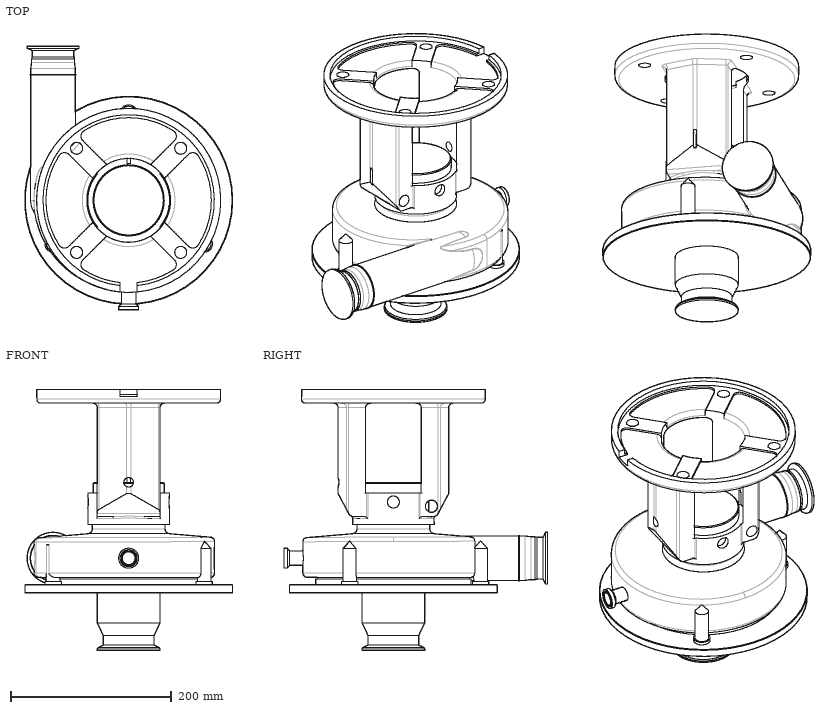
import cadquery as cq
import math


EDGE_TOL = 0.1

PLATE_R = 130.0
PLATE_T = 10.7
PLATE_CHAMFER = 0.8
SPIGOT_R = 97.2
SPIGOT_TOP = 17.9
SPIGOT_NECK_R = 95.0
INLET_R = 39.4
INLET_NECK_R = 31.8
INLET_CONE_TOP = -37.1
INLET_CONE_BOTTOM = -53.2
INLET_END = -71.9
INLET_FLARE_H = 3.2
INLET_RIM_T = 2.1
INLET_SHOULDER_R = 38.4
INLET_SHOULDER_H = 1.7

VOLUTE_BOTTOM = 19.5
VOLUTE_MEAN_R = 107.4
VOLUTE_GROWTH = 5.8
VOLUTE_START = 155.0
VOLUTE_END = -205.0
VOLUTE_LAST_GROWTH = -168.0
SPIRAL_STEPS = 16
VOLUTE_FILLET = 5.5
ROOF_INNER_R = 50.0
ROOF_INNER_Z = 74.4
ROOF_SLOPE = 0.085

CORE_R = 44.5
CORE_TOP = 138.1
CORE_CHAMFER = 1.2
NECK_R = 45.7
NECK_FLARE_Z = 80.0
COLLAR_R = 51.1
COLLAR_BOTTOM = 85.5
COLLAR_TOP = 125.3
CROSS_HOLE_D = 15.0
COLLAR_HOLE_Z = 113.8
LEG_HOLE_Y = 47.5
LEG_HOLE_Z = 108.5

FLANGE_R = 115.0
FLANGE_TOP = 254.6
FLANGE_BOTTOM = 237.2
FLANGE_FILLET = 5.0
FLANGE_BORE_R = 52.4
RECESS_R = 107.0
RECESS_DEPTH = 6.4
POCKET_R = 103.3
POCKET_DEPTH = 8.8
POCKET_CORNER_R = 8.0
POCKET_LIP_R = 5.5
PAD_W = 24.4
BOLT_CIRCLE_R = 92.0
BOLT_D = 15.0
NOTCH_W = 21.0

LEG_HALF_W = 39.3
LEG_INNER_Y = 20.0
LEG_RIDGE_Y = 69.2
LEG_RIDGE_HALF_W = 2.65
LEG_EDGE_Y = 58.0
LEG_EDGE_R = 3.0
LEG_BEVEL_TOP = 124.3
LEG_BEVEL_END_Y = 53.9
LEG_BOTTOM = 95.5
LEG_TOE_R = 7.0
LEG_ROOT_R = 5.5
LEG_COLLAR_BLEND_R = 2.5
ACCESS_HOLE_D = 12.0
ACCESS_HOLE_Z = 138.4
SLOT_W = 4.0
SLOT_BOTTOM = 121.0
SLOT_TOP = 145.0
SLOT_INNER_Y = 46.0

PORT_Z = 43.6
PIPE_X = -94.5
PIPE_R = 28.0
PIPE_BLEND_R = 1.5
PIPE_BLEND_HALF_H = 17.0
PIPE_WELD_Y = 157.0
WELD_R = 28.6
WELD_W = 1.0
PIPE_CONE_START = 164.6
PIPE_CONE_END = 172.2
SLEEVE_R = 27.0
SLEEVE_LIP_R = 26.6
SLEEVE_LIP_START = 176.7
SLEEVE_END = 179.3
FERRULE_R = 26.2
FERRULE_FLARE_START = 187.0
FERRULE_RIM_R = 32.5
FERRULE_RIM_START = 190.0
PIPE_END = 192.8
DRAIN_R = 9.0
DRAIN_BORE_R = 8.0
DRAIN_BORE_INNER_Y = -110.0
DRAIN_FLARE_START = -129.6
DRAIN_RIM_START = -132.4
DRAIN_RIM_R = 12.5
DRAIN_END = -136.9
DRAIN_GROOVE_OUTER_R = 10.6
DRAIN_GROOVE_INNER_R = 9.2
DRAIN_GROOVE_DEPTH = 0.8

BOSS_CIRCLE_R = 109.0
BOSS_R = 8.6
BOSS_FOOT_R = 10.3
BOSS_FOOT_TOP = 14.5
BOSS_TIP_H = 9.5
BOSS_SHOULDERS = {90: 55.7, 210: 60.0, 330: 55.7}


def cylinder_z(radius, z0, z1):
    return cq.Workplane("XY").workplane(offset=z0).circle(radius).extrude(z1 - z0)


def cylinder_x(radius, y, z):
    return cq.Workplane("YZ").center(y, z).circle(radius).extrude(FLANGE_R, both=True)


def revolve_z(points):
    """Solid of revolution about Z from (radius, z) points."""
    return cq.Workplane("XZ").polyline(points).close().revolve(360, (0, 0), (0, 1))


def revolve_y(points, x, z):
    """Solid of revolution about the Y-parallel axis through (x, z), from (radius, y) points."""
    body = cq.Workplane("XY").polyline(points).close().revolve(360, (0, 0), (0, 1))
    return body.translate((x, 0, z))


def cover_and_inlet():
    plate = cylinder_z(PLATE_R, 0, PLATE_T).edges().chamfer(PLATE_CHAMFER)
    spigot = cylinder_z(SPIGOT_R, 0, SPIGOT_TOP).union(cylinder_z(SPIGOT_NECK_R, 0, VOLUTE_BOTTOM))
    rim_top = INLET_END + INLET_RIM_T
    shoulder = rim_top + INLET_SHOULDER_H
    inlet = revolve_z([
        (0, PLATE_T / 2),
        (INLET_R, PLATE_T / 2),
        (INLET_R, INLET_CONE_TOP),
        (INLET_NECK_R, INLET_CONE_BOTTOM),
        (INLET_NECK_R, shoulder + INLET_FLARE_H),
        (INLET_SHOULDER_R, shoulder),
        (INLET_R, rim_top),
        (INLET_R, INLET_END),
        (0, INLET_END),
    ])
    return plate.union(spigot).union(inlet)


def volute_radius(angle):
    return VOLUTE_MEAN_R - VOLUTE_GROWTH * max(angle, VOLUTE_LAST_GROWTH) / 90


def volute_point(angle):
    a = math.radians(angle)
    return (volute_radius(angle) * math.cos(a), volute_radius(angle) * math.sin(a))


def roof_z(radius):
    return ROOF_INNER_Z - ROOF_SLOPE * (radius - ROOF_INNER_R)


def volute():
    """Spiral casing with a shallow conical roof and rounded rims."""
    sweep = VOLUTE_LAST_GROWTH - VOLUTE_START
    spiral = [volute_point(VOLUTE_START + sweep * i / SPIRAL_STEPS) for i in range(SPIRAL_STEPS + 1)]
    body = (
        cq.Workplane("XY").workplane(offset=VOLUTE_BOTTOM)
        .spline(spiral)
        .threePointArc(volute_point((VOLUTE_LAST_GROWTH + VOLUTE_END) / 2), volute_point(VOLUTE_END))
        .close()
        .extrude(ROOF_INNER_Z - VOLUTE_BOTTOM)
    )
    roof = revolve_z([
        (0, 0),
        (PLATE_R, 0),
        (PLATE_R, roof_z(PLATE_R)),
        (0, roof_z(0)),
    ])
    body = body.intersect(roof)
    return body.edges("%BSPLINE or (%CIRCLE and <Z)").fillet(VOLUTE_FILLET)


def core():
    """Neck and shaft seal core rising out of the roof."""
    flare_r = NECK_FLARE_Z - ROOF_INNER_Z
    sag = flare_r * (1 - math.sqrt(0.5))
    neck = (
        cq.Workplane("XZ")
        .moveTo(0, VOLUTE_BOTTOM + 1)
        .lineTo(ROOF_INNER_R, VOLUTE_BOTTOM + 1)
        .lineTo(NECK_R + flare_r, ROOF_INNER_Z)
        .threePointArc((NECK_R + sag, ROOF_INNER_Z + sag), (NECK_R, NECK_FLARE_Z))
        .lineTo(NECK_R, COLLAR_BOTTOM)
        .lineTo(0, COLLAR_BOTTOM)
        .close()
        .revolve(360, (0, 0), (0, 1))
    )
    seal = cylinder_z(CORE_R, COLLAR_BOTTOM, CORE_TOP).faces(">Z").chamfer(CORE_CHAMFER)
    return neck.union(seal)


def leg():
    """One leg on the +Y side, full depth inwards; the bore is cut later."""
    half = [
        (LEG_HALF_W, LEG_INNER_Y),
        (LEG_HALF_W, LEG_EDGE_Y),
        (LEG_RIDGE_HALF_W, LEG_RIDGE_Y),
    ]
    mirrored = [(-x, y) for x, y in reversed(half)]
    bar = (
        cq.Workplane("XY").workplane(offset=LEG_BOTTOM)
        .polyline(half + mirrored).close()
        .extrude(FLANGE_BOTTOM - LEG_BOTTOM)
        .edges("|Z").edges(cq.selectors.BoxSelector(
            (-PLATE_R, LEG_EDGE_Y - 1, 0), (PLATE_R, LEG_EDGE_Y + 1, FLANGE_TOP)))
        .fillet(LEG_EDGE_R)
    )
    side = (
        cq.Workplane("YZ")
        .polyline([
            (0, FLANGE_BOTTOM),
            (LEG_RIDGE_Y, FLANGE_BOTTOM),
            (LEG_RIDGE_Y, LEG_BEVEL_TOP),
            (LEG_BEVEL_END_Y, LEG_BOTTOM),
            (0, LEG_BOTTOM),
        ]).close()
        .extrude(PLATE_R, both=True)
        .edges(cq.selectors.NearestToPointSelector((0, LEG_BEVEL_END_Y, LEG_BOTTOM)))
        .fillet(LEG_TOE_R)
    )
    return bar.intersect(side)


def pad_gap_prism(z0, z1):
    """Right-angled wedge opening towards +X between two neighbouring bolt pads."""
    apex = PAD_W / 2 * math.sqrt(2)
    points = [(apex, 0), (apex + FLANGE_R, FLANGE_R), (apex + FLANGE_R, -FLANGE_R)]
    return cq.Workplane("XY").workplane(offset=z0).polyline(points).close().extrude(z1 - z0)


def flange_pocket():
    """Sector pocket centred on +X, with the material to remove for its rounded inner lip."""
    pocket_floor = FLANGE_TOP - POCKET_DEPTH
    sector = pad_gap_prism(pocket_floor, FLANGE_TOP)
    sector = sector.intersect(cylinder_z(POCKET_R, pocket_floor, FLANGE_TOP))
    sector = sector.edges("|Z and (not <X)").fillet(POCKET_CORNER_R)
    lip_centre_r = FLANGE_BORE_R + POCKET_LIP_R
    lip_centre_z = pocket_floor - POCKET_LIP_R
    diagonal = POCKET_LIP_R * math.sqrt(0.5)
    lip = (
        cq.Workplane("XZ")
        .moveTo(FLANGE_BORE_R, pocket_floor)
        .lineTo(lip_centre_r, pocket_floor)
        .threePointArc((lip_centre_r - diagonal, lip_centre_z + diagonal), (FLANGE_BORE_R, lip_centre_z))
        .close()
        .revolve(360, (0, 0), (0, 1))
    )
    return sector.union(lip.intersect(pad_gap_prism(lip_centre_z, pocket_floor)))


def frame():
    """Motor flange with its two legs, bored for the coupling."""
    disc = cylinder_z(FLANGE_R, FLANGE_BOTTOM, FLANGE_TOP)
    body = disc.edges("<Z").fillet(FLANGE_FILLET)
    for angle in (0, 180):
        body = body.union(leg().rotate((0, 0, 0), (0, 0, 1), angle))
    root = cq.selectors.BoxSelector(
        (-LEG_HALF_W - 1, -LEG_RIDGE_Y - 1, FLANGE_BOTTOM - EDGE_TOL),
        (LEG_HALF_W + 1, LEG_RIDGE_Y + 1, FLANGE_BOTTOM + EDGE_TOL), boundingbox=True)
    body = body.edges(root).fillet(LEG_ROOT_R)
    body = body.cut(cylinder_z(FLANGE_BORE_R, COLLAR_TOP, FLANGE_TOP))
    body = body.cut(cylinder_z(RECESS_R, FLANGE_TOP - RECESS_DEPTH, FLANGE_TOP))
    for angle in range(0, 360, 90):
        body = body.cut(flange_pocket().rotate((0, 0, 0), (0, 0, 1), angle))
    bolts = (
        cq.Workplane("XY").workplane(offset=FLANGE_BOTTOM)
        .polarArray(BOLT_CIRCLE_R, 45, 360, 4).circle(BOLT_D / 2)
        .extrude(FLANGE_TOP - FLANGE_BOTTOM)
    )
    notch = cq.Workplane("XY").box(
        NOTCH_W, FLANGE_R - POCKET_R + 1, POCKET_DEPTH, centered=(True, False, False)
    ).translate((0, -FLANGE_R, FLANGE_TOP - POCKET_DEPTH))
    access = (
        cq.Workplane("XZ").center(0, ACCESS_HOLE_Z).circle(ACCESS_HOLE_D / 2).extrude(PLATE_R)
    )
    return body.cut(bolts).cut(notch).cut(access)


def frame_with_collar():
    """Frame joined to the collar, with blends along the leg flanks and under the leg toes."""
    body = frame().union(cylinder_z(COLLAR_R, COLLAR_BOTTOM, COLLAR_TOP))
    toe_zone = cq.selectors.BoxSelector(
        (-COLLAR_R, -COLLAR_R, LEG_BOTTOM - EDGE_TOL), (COLLAR_R, COLLAR_R, LEG_BOTTOM + EDGE_TOL))
    flank_zone = cq.selectors.BoxSelector(
        (-LEG_HALF_W - EDGE_TOL, -COLLAR_R, LEG_BOTTOM), (LEG_HALF_W + EDGE_TOL, COLLAR_R, COLLAR_TOP))
    toes = body.edges("%CIRCLE").edges(toe_zone)
    flanks = body.edges("|Z").edges(flank_zone)
    return toes.add(flanks).fillet(LEG_COLLAR_BLEND_R)


def collar_openings():
    """Cross holes and drain slot that stop at the seal core."""
    slot = (
        cq.Workplane("XZ").center(0, (SLOT_BOTTOM + SLOT_TOP) / 2)
        .slot2D(SLOT_TOP - SLOT_BOTTOM, SLOT_W, 90)
        .extrude(-(LEG_RIDGE_Y + 1 - SLOT_INNER_Y))
        .translate((0, SLOT_INNER_Y, 0))
    )
    radius = CROSS_HOLE_D / 2
    holes = cylinder_x(radius, 0, COLLAR_HOLE_Z).union(cylinder_x(radius, LEG_HOLE_Y, LEG_HOLE_Z))
    return holes.cut(cylinder_z(CORE_R, COLLAR_BOTTOM, CORE_TOP)).union(slot)


def discharge_pipe():
    """Pipe leaving the volute tangentially, with a spherical inner end and a clamp ferrule."""
    pipe = revolve_y([
        (0, 0),
        (PIPE_R, 0),
        (PIPE_R, PIPE_WELD_Y - WELD_W / 2),
        (WELD_R, PIPE_WELD_Y - WELD_W / 2),
        (WELD_R, PIPE_WELD_Y + WELD_W / 2),
        (PIPE_R, PIPE_WELD_Y + WELD_W / 2),
        (PIPE_R, PIPE_CONE_START),
        (SLEEVE_R, PIPE_CONE_END),
        (SLEEVE_R, SLEEVE_LIP_START),
        (SLEEVE_LIP_R, SLEEVE_LIP_START),
        (SLEEVE_LIP_R, SLEEVE_END),
        (FERRULE_R, SLEEVE_END),
        (FERRULE_R, FERRULE_FLARE_START),
        (FERRULE_RIM_R, FERRULE_RIM_START),
        (FERRULE_RIM_R, PIPE_END),
        (0, PIPE_END),
    ], PIPE_X, PORT_Z)
    end = cq.Workplane("XY").sphere(PIPE_R).translate((PIPE_X, 0, PORT_Z))
    return pipe.union(end)


def volute_with_pipe():
    """Volute and discharge pipe, blended where the pipe swells out of the side wall."""
    body = volute().union(discharge_pipe())
    wall_r = volute_radius(VOLUTE_LAST_GROWTH)
    seam = cq.selectors.BoxSelector(
        (-wall_r - 1, -PIPE_R / 2, PORT_Z - PIPE_BLEND_HALF_H),
        (-wall_r + 2, PIPE_R / 2 + 1, PORT_Z + PIPE_BLEND_HALF_H))
    return body.edges("%BSPLINE").edges(seam).fillet(PIPE_BLEND_R)


def drain_nozzle():
    return revolve_y([
        (0, -VOLUTE_MEAN_R),
        (DRAIN_R, -VOLUTE_MEAN_R),
        (DRAIN_R, DRAIN_FLARE_START),
        (DRAIN_RIM_R, DRAIN_RIM_START),
        (DRAIN_RIM_R, DRAIN_END),
        (0, DRAIN_END),
    ], 0, PORT_Z)


def drain_bore():
    """Blind bore of the drain and the gasket groove in its end face."""
    bore = (
        cq.Workplane("XZ", origin=(0, DRAIN_BORE_INNER_Y, PORT_Z))
        .circle(DRAIN_BORE_R).extrude(DRAIN_BORE_INNER_Y - DRAIN_END)
    )
    groove = (
        cq.Workplane("XZ", origin=(0, DRAIN_END + DRAIN_GROOVE_DEPTH, PORT_Z))
        .circle(DRAIN_GROOVE_OUTER_R).circle(DRAIN_GROOVE_INNER_R).extrude(DRAIN_GROOVE_DEPTH)
    )
    return bore.union(groove)


def clamp_boss(angle, shoulder_z):
    """Post with a wider foot and a conical tip, standing against the volute wall."""
    boss = revolve_z([
        (0, PLATE_T / 2),
        (BOSS_FOOT_R, PLATE_T / 2),
        (BOSS_FOOT_R, BOSS_FOOT_TOP),
        (BOSS_R, BOSS_FOOT_TOP),
        (BOSS_R, shoulder_z),
        (0, shoulder_z + BOSS_TIP_H),
    ])
    return boss.translate((BOSS_CIRCLE_R, 0, 0)).rotate((0, 0, 0), (0, 0, 1), angle)


casing = cover_and_inlet().union(volute_with_pipe()).union(drain_nozzle())
for boss_angle, boss_shoulder in BOSS_SHOULDERS.items():
    casing = casing.union(clamp_boss(boss_angle, boss_shoulder))

upper = frame_with_collar().cut(collar_openings())
result = casing.union(core()).union(upper).cut(drain_bore())